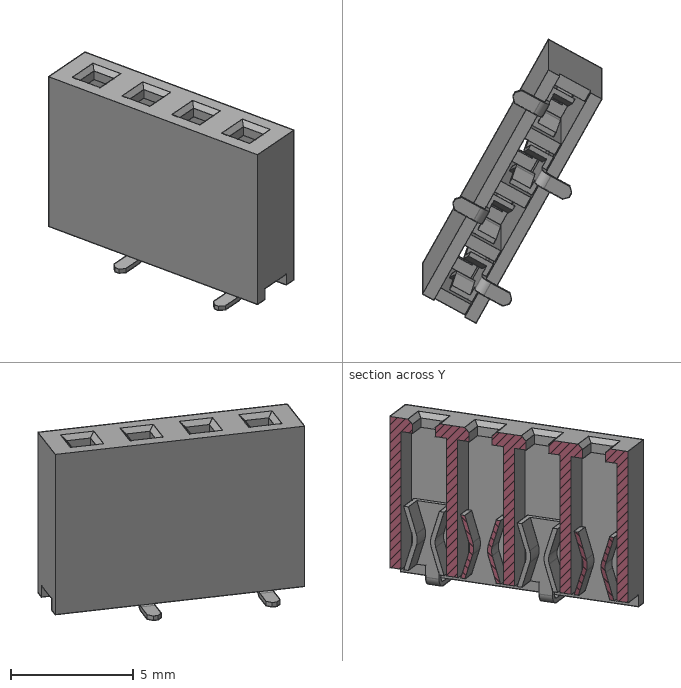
import cadquery as cq
import math


positions = 4
length = 10.66
row_margin = 0.5
width = 2.5
height = 7.52
standoff = 0.42
tail_span = 4.05
sheet = 0.2

slot_width = 1.45
slot_depth = 0.51
mouth = 1.42
throat = 1.01
lead_in_depth = (mouth - throat) / 2
throat_depth = 0.4
cavity_length = 2.03

tail_width = 0.61
tip_chamfer = tail_width / 3
arm_front = 0.33
arm_gap = 0.6
arm_lean = 17.5
arm_bend_radius = 0.85
arm_end_gap = 1.39

pitch = (length - row_margin) / positions
slot_top = standoff + slot_depth
cavity_top = height - lead_in_depth - throat_depth
bend_radius = standoff - sheet
plate_outer = slot_width / 2
plate_inner = plate_outer - sheet
centres = [(i - (positions - 1) / 2) * pitch for i in range(positions)]


def box(size_x, size_y, bottom, top):
    """Upright block centred on the Z axis."""
    return cq.Workplane("XY").workplane(offset=bottom).rect(size_x, size_y).extrude(top - bottom)


def make_opening():
    """Chamber, throat and tapered lead-in of one position."""
    chamber = box(cavity_length, slot_width, slot_top, cavity_top)
    hole = box(throat, throat, cavity_top, height)
    lead_in = (
        cq.Workplane("XY")
        .workplane(offset=height - lead_in_depth)
        .rect(throat, throat)
        .workplane(offset=lead_in_depth)
        .rect(mouth, mouth)
        .loft(ruled=True)
    )
    return chamber.union(hole).union(lead_in)


def make_housing():
    housing = box(length, width, standoff, height)
    housing = housing.cut(box(length, slot_width, standoff, slot_top))
    opening = make_opening()
    for x in centres:
        housing = housing.cut(opening.translate((x, 0, 0)))
    return housing


lean = math.radians(arm_lean)
point_x = arm_gap / 2 - arm_bend_radius * (1 / math.cos(lean) - 1)
end_x = arm_end_gap / 2
arm_half_height = (end_x - point_x) / math.tan(lean)
arm_middle = slot_top + arm_half_height
arm_top = arm_middle + arm_half_height
arm_shift = sheet / math.cos(lean)


def make_arm():
    """Spring arm on the +X side."""
    arm = (
        cq.Workplane("XZ", origin=(0, plate_inner, 0))
        .moveTo(end_x, slot_top)
        .lineTo(point_x, arm_middle)
        .lineTo(end_x, arm_top)
        .lineTo(end_x + arm_shift, arm_top)
        .lineTo(point_x + arm_shift, arm_middle)
        .lineTo(end_x + arm_shift, slot_top)
        .close()
        .extrude(plate_inner + arm_front)
    )
    middle_y = (plate_inner - arm_front) / 2
    inner_edge = cq.selectors.NearestToPointSelector((point_x, middle_y, arm_middle))
    outer_edge = cq.selectors.NearestToPointSelector((point_x + arm_shift, middle_y, arm_middle))
    arm = arm.edges("|Y").edges(inner_edge).fillet(arm_bend_radius)
    return arm.edges("|Y").edges(outer_edge).fillet(arm_bend_radius - sheet)


def make_tail():
    """Leg that drops through the groove and bends outward to a flat foot toward +Y."""
    tip = tail_span / 2
    outer_radius = bend_radius + sheet
    bend_y = plate_inner + outer_radius
    diagonal = math.sqrt(0.5)
    tail = (
        cq.Workplane("YZ", origin=(-tail_width / 2, 0, 0))
        .moveTo(plate_inner, slot_top)
        .lineTo(plate_inner, outer_radius)
        .threePointArc(
            (bend_y - outer_radius * diagonal, outer_radius * (1 - diagonal)),
            (bend_y, 0),
        )
        .lineTo(tip, 0)
        .lineTo(tip, sheet)
        .lineTo(bend_y, sheet)
        .threePointArc(
            (bend_y - bend_radius * diagonal, outer_radius - bend_radius * diagonal),
            (plate_outer, outer_radius),
        )
        .lineTo(plate_outer, slot_top)
        .close()
        .extrude(tail_width)
    )
    return tail.faces(">Y").edges("|Z").chamfer(tip_chamfer)


def make_contact():
    """Back plate with two spring arms and a tail, the tail pointing toward +Y."""
    plate_width = 2 * (end_x + arm_shift)
    plate = box(plate_width, sheet, slot_top, arm_top).translate((0, plate_outer - sheet / 2, 0))
    arm = make_arm()
    return plate.union(arm).union(arm.mirror("YZ")).union(make_tail())


housing = make_housing()

contact = make_contact()
contacts = []
for i, x in enumerate(centres):
    turned = contact.rotate((0, 0, 0), (0, 0, 1), 180 * (i % 2))
    contacts.append(turned.translate((x, 0, 0)).val())

result = cq.Compound.makeCompound([housing.val(), *contacts])